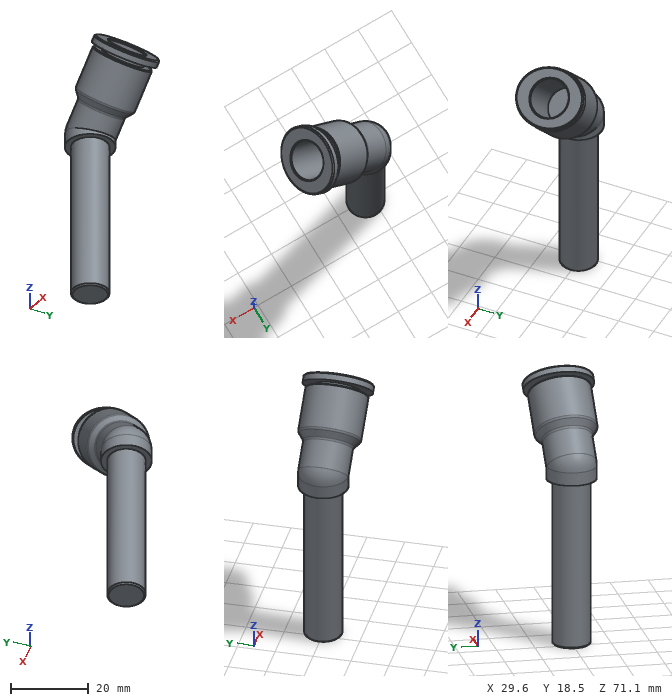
import cadquery as cq

stem_radius = 5.0
stem_end_chamfer = 0.4
collar_radius = 6.55
collar_bottom = 44.5
elbow_height = 48.0

tilt_angle = 45
shoulder_start = 7.75
shoulder_length = 2.1
body_radius = 8.25
body_end = 21.75
shoulder_fillet = 1.0
body_end_chamfer = 0.3

button_neck_radius = 5.8
button_gap = 1.1
button_thickness = 2.0
button_half_length = 9.25
button_half_width = 8.1
button_chamfer = 0.35

bore_radius = 5.1
bore_mouth_chamfer = 0.3

selection_margin = 0.1

shoulder_end = shoulder_start + shoulder_length
button_back = body_end + button_gap
button_front = button_back + button_thickness


def cylinder(radius, bottom, top):
    """Round bar about Z between two heights."""
    return cq.Workplane("XY").workplane(offset=bottom).circle(radius).extrude(top - bottom)


def make_stem():
    stem = cylinder(stem_radius, 0, collar_bottom)
    return stem.faces("<Z").chamfer(stem_end_chamfer)


def make_elbow():
    """Collar above the stem, rounded over by a ball where the two axes meet."""
    collar = cylinder(collar_radius, collar_bottom, elbow_height)
    ball = cq.Workplane("XY").sphere(collar_radius).translate((0, 0, elbow_height))
    return collar.union(ball.intersect(cylinder(collar_radius, collar_bottom, elbow_height + collar_radius)))


def ring_edge(radius, height):
    """Selector for the circular edge about Z at one height."""
    return cq.selectors.BoxSelector(
        (-radius, -radius, height - selection_margin),
        (radius, radius, height + selection_margin),
    )


def make_socket_body():
    """Neck, conical shoulder and wide body, upright with the elbow centre at the origin."""
    half_section = [
        (0, 0),
        (collar_radius, 0),
        (collar_radius, shoulder_start),
        (body_radius, shoulder_end),
        (body_radius, body_end),
        (0, body_end),
    ]
    body = cq.Workplane("XZ").polyline(half_section).close().revolve(360, (0, 0, 0), (0, 1, 0))
    body = body.faces(">Z").chamfer(body_end_chamfer)
    body = body.edges(ring_edge(body_radius, shoulder_end)).fillet(shoulder_fillet)
    return body.edges(ring_edge(collar_radius, shoulder_start)).fillet(shoulder_fillet)


def make_button():
    """Oval flange on a round neck; the long axis of the oval lies along Y."""
    neck = cylinder(button_neck_radius, body_end, button_back)
    flange = (
        cq.Workplane("XY")
        .workplane(offset=button_back)
        .ellipse(button_half_width, button_half_length)
        .extrude(button_thickness)
        .faces(">Z")
        .chamfer(button_chamfer)
    )
    return neck.union(flange)


def make_socket():
    socket = make_socket_body().union(make_button())
    socket = socket.cut(cylinder(bore_radius, shoulder_end, button_front))
    mouth_edge = cq.selectors.RadiusNthSelector(0)
    return socket.faces(">Z").edges("%CIRCLE").edges(mouth_edge).chamfer(bore_mouth_chamfer)


def tilt_onto_elbow(socket):
    """Lean the socket toward +X about the elbow centre, trimmed flush with the collar underside."""
    tilted = socket.rotate((0, 0, 0), (0, 1, 0), tilt_angle).translate((0, 0, elbow_height))
    return tilted.cut(cylinder(collar_radius, 0, collar_bottom))


result = make_stem().union(make_elbow()).union(tilt_onto_elbow(make_socket()))